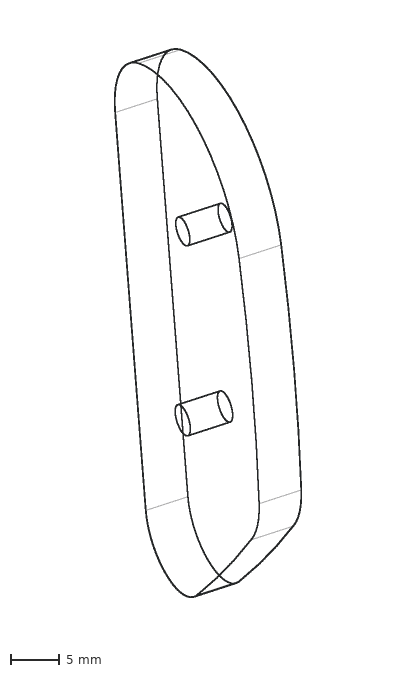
import cadquery as cq
import math

height = 65.4
width = 32.3
thickness = 5.0

crown_radius = 15.7
crown_center = (12.55, height - crown_radius)
toe_radius = 6.55
toe_center = (13.4, toe_radius)
heel_radius = 9.15
heel_center = (width - heel_radius, 23.55)

crown_end_angle = 13.8
crown_shoulder_angle = 117.8
heel_start_angle = 3.7
heel_end_angle = -36.0
toe_end_angle = -37.0

flank_bulge = 0.65
lower_edge_bulge = 0.25

hole_x = 15.25
upper_hole_z = 48.3
upper_hole_diameter = 3.15
lower_hole_z = 23.3
lower_hole_diameter = 3.4


def point_on_circle(center, radius, angle):
    """Point on a circle at an angle in degrees."""
    turn = math.radians(angle)
    return (center[0] + radius * math.cos(turn), center[1] + radius * math.sin(turn))


def bulged_middle(start, end, bulge):
    """Middle of an arc that bulges to the right of travel from start to end."""
    dx = end[0] - start[0]
    dz = end[1] - start[1]
    length = math.hypot(dx, dz)
    return (
        (start[0] + end[0]) / 2 + bulge * dz / length,
        (start[1] + end[1]) / 2 - bulge * dx / length,
    )


def round_corner(outline, center, radius, start_angle, end_angle):
    """Add an arc from the current point, lying at start_angle on the circle."""
    middle = point_on_circle(center, radius, (start_angle + end_angle) / 2)
    return outline.threePointArc(middle, point_on_circle(center, radius, end_angle))


def bulged_edge(outline, start, end, bulge):
    """Add a gently curved edge from start, the current point, to end."""
    return outline.threePointArc(bulged_middle(start, end, bulge), end)


joint_cosine = math.cos(math.radians(crown_shoulder_angle))
shoulder_radius = (crown_center[0] + crown_radius * joint_cosine) / (1 + joint_cosine)
shoulder_center = point_on_circle(
    crown_center, crown_radius - shoulder_radius, crown_shoulder_angle
)

center_dx = toe_center[0] - shoulder_center[0]
center_dz = toe_center[1] - shoulder_center[1]
center_distance = math.hypot(center_dx, center_dz)
left_edge_angle = (
    math.degrees(math.atan2(center_dz, center_dx))
    + 360
    - math.degrees(math.acos((shoulder_radius - toe_radius) / center_distance))
)

toe_end = point_on_circle(toe_center, toe_radius, toe_end_angle)
heel_end = point_on_circle(heel_center, heel_radius, heel_end_angle)
heel_start = point_on_circle(heel_center, heel_radius, heel_start_angle)
crown_end = point_on_circle(crown_center, crown_radius, crown_end_angle)

outline = cq.Workplane("XZ").moveTo(*toe_end)
outline = bulged_edge(outline, toe_end, heel_end, lower_edge_bulge)
outline = round_corner(outline, heel_center, heel_radius, heel_end_angle, heel_start_angle)
outline = bulged_edge(outline, heel_start, crown_end, flank_bulge)
outline = round_corner(outline, crown_center, crown_radius, crown_end_angle, crown_shoulder_angle)
outline = round_corner(
    outline, shoulder_center, shoulder_radius, crown_shoulder_angle, left_edge_angle
)
outline = outline.lineTo(*point_on_circle(toe_center, toe_radius, left_edge_angle))
outline = round_corner(outline, toe_center, toe_radius, left_edge_angle, toe_end_angle + 360)
plate = outline.close().extrude(thickness)


def through_hole(z, diameter):
    """Cutter for a hole through the plate thickness."""
    return cq.Workplane("XZ").center(hole_x, z).circle(diameter / 2).extrude(thickness)


result = plate.cut(through_hole(upper_hole_z, upper_hole_diameter))
result = result.cut(through_hole(lower_hole_z, lower_hole_diameter))